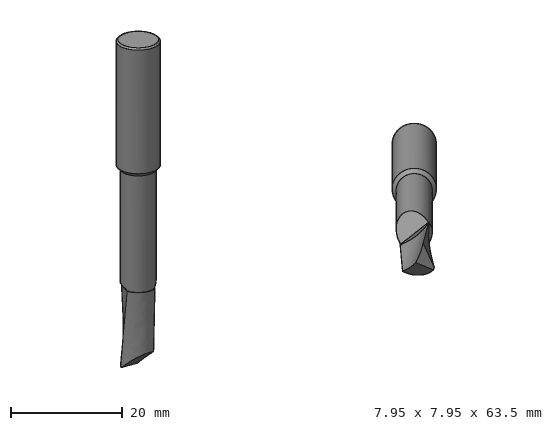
import cadquery as cq
import math

total_length = 63.5
shank_bottom = 39.0
neck_top = 38.2
blade_top = 15.4

shank_diameter = 7.95
shank_radius = shank_diameter / 2
neck_radius = 3.25
top_chamfer = 0.3

blade_top_radius = 3.35
blade_top_edge = (-3.0, -1.5)
blade_top_back_angle = 25.0
blade_top_heel_angle = -74.0
blade_tip_radius = 3.8
blade_tip_edge = (-3.9, 0.0)
blade_tip_back_angle = 7.0
blade_tip_heel_angle = -96.0
rake_hollow = 0.6

bevel_start = (0.1, 0.25)
bevel_end = (3.75, 3.7)
end_relief_angle = 2.3

cutter_size = 12.7


def on_circle(radius, angle):
    """Return the XY point at an angle in degrees on a circle about the axis."""
    return (radius * math.cos(math.radians(angle)), radius * math.sin(math.radians(angle)))


def along(start, end):
    """Return the midpoint and direction angle of a line between two XY points."""
    run, rise = end[0] - start[0], end[1] - start[1]
    middle = ((start[0] + end[0]) / 2, (start[1] + end[1]) / 2)
    return middle, math.degrees(math.atan2(rise, run))


def blade_section(z, edge, radius, back_angle, heel_angle):
    """Blade outline: hollow rake face, round back and straight flank."""
    back = on_circle(radius, back_angle)
    heel = on_circle(radius, heel_angle)
    middle, direction = along(edge, back)
    offset = on_circle(rake_hollow, direction - 90)
    hollow = (middle[0] + offset[0], middle[1] + offset[1])
    outline = (
        cq.Workplane("XY", origin=(0, 0, z))
        .moveTo(*edge)
        .threePointArc(hollow, back)
        .threePointArc(on_circle(radius, (back_angle + heel_angle) / 2), heel)
        .close()
    )
    return outline.wires().val()


def make_bar():
    """Shank, cone and neck turned about Z."""
    return (
        cq.Workplane("XZ")
        .moveTo(0, blade_top)
        .lineTo(neck_radius, blade_top)
        .lineTo(neck_radius, neck_top)
        .lineTo(shank_radius, shank_bottom)
        .lineTo(shank_radius, total_length - top_chamfer)
        .lineTo(shank_radius - top_chamfer, total_length)
        .lineTo(0, total_length)
        .close()
        .revolve(360, (0, 0, 0), (0, 1, 0))
    )


def runout(start, end):
    """Wedge whose 45 degree face rises to the left of the line from start to end."""
    middle, direction = along(start, end)
    side = cutter_size / 2
    return (
        cq.Workplane("YZ")
        .polyline([(0, 0), (side, 0), (side, side)])
        .close()
        .extrude(cutter_size, both=True)
        .rotate((0, 0, 0), (0, 0, 1), direction)
        .translate((middle[0], middle[1], blade_top))
    )


def make_blade():
    """Twisting blade between the neck and tip sections, with its end ground away."""
    tip = blade_section(0, blade_tip_edge, blade_tip_radius, blade_tip_back_angle, blade_tip_heel_angle)
    root = blade_section(
        blade_top, blade_top_edge, blade_top_radius, blade_top_back_angle, blade_top_heel_angle
    )
    blade = cq.Workplane(cq.Solid.makeLoft([tip, root], True))
    slope = (bevel_end[1] - bevel_start[1]) / (bevel_end[0] - bevel_start[0])
    bevel_limit = (cutter_size, bevel_start[1] + slope * (cutter_size - bevel_start[0]))
    end_cutter = (
        cq.Workplane("XZ")
        .polyline([(blade_tip_edge[0], 0), bevel_start, bevel_limit, (cutter_size, -cutter_size),
                   (blade_tip_edge[0], -cutter_size)])
        .close()
        .extrude(cutter_size, both=True)
        .rotate((0, 0, 0), (1, 0, 0), -end_relief_angle)
    )
    return blade.cut(end_cutter)


top_back = on_circle(blade_top_radius, blade_top_back_angle)
top_heel = on_circle(blade_top_radius, blade_top_heel_angle)
bar = make_bar()
bar = bar.cut(runout(blade_top_edge, top_back))
bar = bar.cut(runout(top_heel, blade_top_edge))

result = bar.union(make_blade())